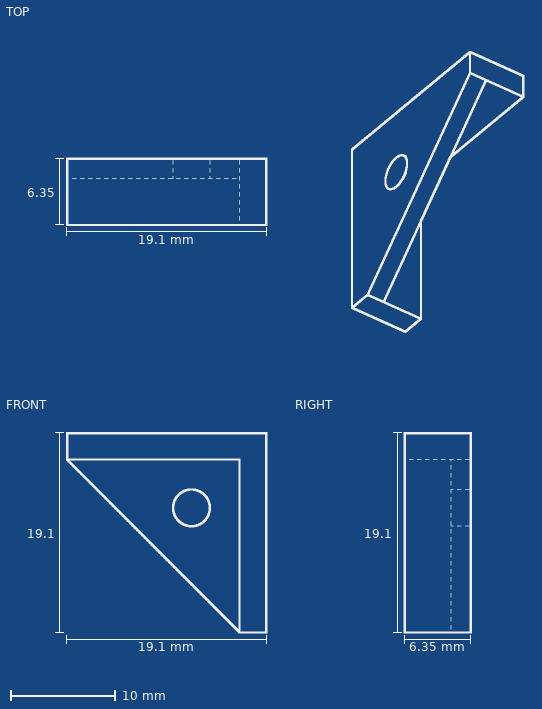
import cadquery as cq

width = 19.07
depth = 6.35
height = 19.11

flange_thickness = 2.54
web_thickness = 1.905

inner_x = width - flange_thickness
inner_z = height - flange_thickness

hole_diameter = 3.5
hole_inset = 7.16


def flanges():
    """Top and side flanges as one L-shaped profile across the full depth."""
    outline = [
        (0, height),
        (width, height),
        (width, 0),
        (inner_x, 0),
        (inner_x, inner_z),
        (0, inner_z),
    ]
    return back_plane().polyline(outline).close().extrude(depth)


def web():
    """Triangular plate along the back, joining the two flanges."""
    outline = [(0, inner_z), (inner_x, inner_z), (inner_x, 0)]
    return back_plane().polyline(outline).close().extrude(web_thickness)


def web_hole():
    """Cylinder to remove from the web."""
    center = (width - hole_inset, height - hole_inset)
    return back_plane().center(*center).circle(hole_diameter / 2).extrude(web_thickness)


def back_plane():
    """Sketch plane on the back face; extrusions run forward, toward -Y."""
    return cq.Workplane("XZ", origin=(0, depth, 0))


result = flanges().union(web()).cut(web_hole())